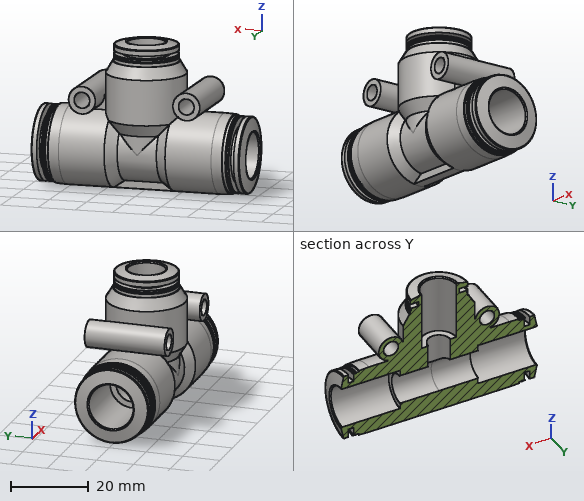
import cadquery as cq

run_reach = 28.6
overall_height = 38.7
body_radius = 21.0 / 2
branch_reach = overall_height - body_radius
waist_radius = 8.5
run_waist_half_length = 5.25
branch_waist_end = 4.9
waist_cone_end = 8.2

crown_height = 0.7
collar_depth = 2.2
sleeve_lip_width = 0.45
groove_width = 0.35
shoulder_depth = 8.1
groove_height = 0.25
edge_bevel = 0.25
rim_bevel = 0.35

run_collar_radius = 20 / 2
run_neck_radius = 15.0 / 2
run_neck_depth = 3.65
run_sleeve_depth = 5.25
run_shoulder_radius = 10.35
run_socket_radius = 12 / 2
run_bore_radius = 8.7 / 2

branch_collar_radius = 16.8 / 2
branch_neck_radius = 12 / 2
branch_neck_depth = 3.3
branch_sleeve_depth = 5.05
branch_shoulder_radius = 8.65
branch_socket_radius = 10.0 / 2
branch_bore_radius = 6.4 / 2
socket_depth = 17.15

lug_radius = 7.2 / 2
lug_hole_radius = 4.2 / 2
lug_length = 21.7
lug_x = 14.0
lug_z = 14.0
web_thickness = 5.6
underside_web_thickness = 3.45

run_end = cq.Plane(origin=(0, 0, 0), xDir=(0, 0, 1), normal=(0, -1, 0))
branch_end = cq.Plane.XZ()


def port(plane, reach, waist_end, collar_r, neck_r, neck_depth, sleeve_depth, shoulder_r, socket_r):
    """Half fitting revolved about the plane's local Y axis, without its bore."""
    groove_start = neck_depth + sleeve_lip_width
    groove_end = groove_start + groove_width
    profile = [
        (0, 0),
        (waist_radius, 0),
        (waist_radius, waist_end),
        (body_radius, waist_cone_end),
        (body_radius, reach - shoulder_depth),
        (shoulder_r, reach - sleeve_depth),
        (collar_r, reach - sleeve_depth),
        (collar_r, reach - groove_end),
        (collar_r - groove_height, reach - groove_end),
        (collar_r - groove_height, reach - groove_start),
        (collar_r, reach - groove_start),
        (collar_r, reach - neck_depth + edge_bevel),
        (collar_r - edge_bevel, reach - neck_depth),
        (neck_r, reach - neck_depth),
        (neck_r, reach - collar_depth),
        (collar_r, reach - collar_depth),
        (collar_r, reach - crown_height - edge_bevel),
        (collar_r - edge_bevel, reach - crown_height),
        (socket_r + rim_bevel, reach),
        (0, reach),
    ]
    return cq.Workplane(plane).polyline(profile).close().revolve(360, (0, 0), (0, 1))


def bore(plane, reach, socket_r, bore_r):
    """Stepped tube socket with a bevelled rim, running in to the crossing."""
    profile = [
        (0, 0),
        (bore_r, 0),
        (bore_r, reach - socket_depth),
        (socket_r, reach - socket_depth),
        (socket_r, reach - rim_bevel),
        (socket_r + rim_bevel, reach),
        (0, reach),
    ]
    return cq.Workplane(plane).polyline(profile).close().revolve(360, (0, 0), (0, 1))


run_half = port(run_end, run_reach, run_waist_half_length, run_collar_radius,
                run_neck_radius, run_neck_depth, run_sleeve_depth,
                run_shoulder_radius, run_socket_radius)
branch = port(branch_end, branch_reach, branch_waist_end, branch_collar_radius,
              branch_neck_radius, branch_neck_depth, branch_sleeve_depth,
              branch_shoulder_radius, branch_socket_radius)
result = run_half.union(run_half.mirror("YZ")).union(branch)

underside_web = cq.Workplane("XY").box(
    2 * waist_cone_end, underside_web_thickness, body_radius, centered=(True, True, False)
).translate((0, 0, -body_radius))
body_face = cq.Workplane("YZ", origin=(-waist_cone_end, 0, 0))
body_envelope = body_face.circle(body_radius).extrude(2 * waist_cone_end)
result = result.union(underside_web.intersect(body_envelope))

result = result.union(
    cq.Workplane("XY").box(2 * lug_x, web_thickness, lug_z, centered=(True, True, False))
)

lug_centres = [(-lug_x, lug_z), (lug_x, lug_z)]
lug_face = cq.Workplane("XZ", origin=(0, lug_length / 2, 0)).pushPoints(lug_centres)
lugs = lug_face.circle(lug_radius).extrude(lug_length)
lug_holes = lug_face.circle(lug_hole_radius).extrude(lug_length)
result = result.union(lugs).cut(lug_holes)

run_bore = bore(run_end, run_reach, run_socket_radius, run_bore_radius)
branch_bore = bore(branch_end, branch_reach, branch_socket_radius, branch_bore_radius)
result = result.cut(run_bore).cut(run_bore.mirror("YZ")).cut(branch_bore)